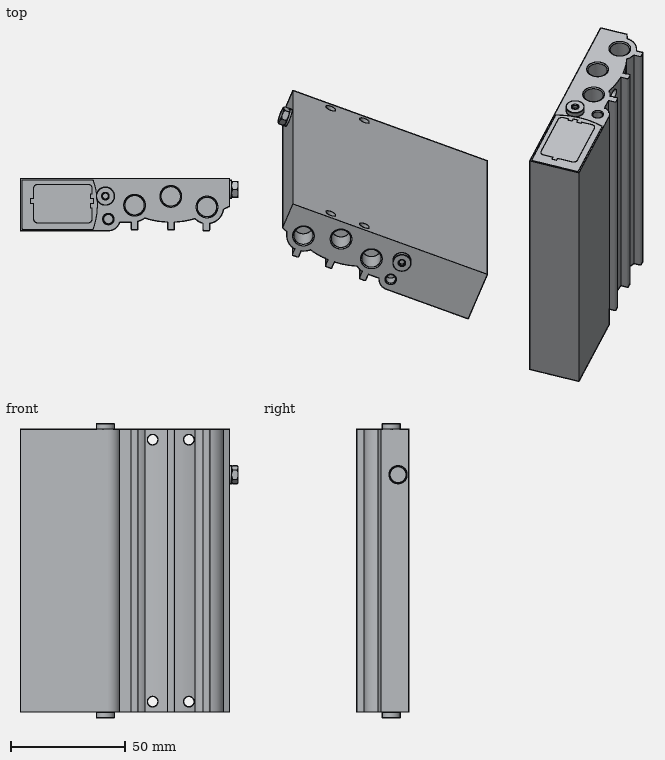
import cadquery as cq
import math

OVERALL_LENGTH = 129.0
OVERALL_WIDTH = 95.5
DEPTH = 23.0

KNOB_DIAMETER = 8.0
KNOB_HEIGHT = 2.5
KNOB_RIM_CHAMFER = 0.1
KNOB_X = 37.3
KNOB_Y = 15.2
KNOB_SOCKET_DIAMETER = 2.6
KNOB_SOCKET_MOUTH = 3.4
KNOB_SOCKET_DEPTH = 1.8

FITTING_LENGTH = 3.7
FITTING_Y = 18.2
FITTING_DROP = 20.0
COLLAR_DIAMETER = 8.0
COLLAR_LENGTH = 0.9
HEX_ACROSS_FLATS = 7.0
HEX_CORNER_CHAMFER = 0.5

LENGTH = OVERALL_LENGTH - 2 * KNOB_HEIGHT
WIDTH = OVERALL_WIDTH - FITTING_LENGTH
NOSE_RADIUS = 5.2
NOSE_X = 38.6
FLOOR_Y = 3.7
CORE_Y = 10.7
STEP_X = 89.0
STEP_Y = 9.4
BELLY_RADIUS = 36.1

PORT_PITCH = 15.9
PORT_X = [50.0 + i * PORT_PITCH for i in range(3)]
PORT_Y = [11.2, 15.1, 10.5]
PORT_DIAMETER = 8.5
PORT_DEPTH = 12.0
PORT_CHAMFER = 0.5
FIRST_LOBE_RADIUS = 7.2
LAST_LOBE_RADIUS = 7.4
RIB_WIDTH = 3.0
RIB_X = [50.0, 66.0, 81.5]
RIB_TIP_Y = [0.4, 0.4, 0.0]
RIB_TIP_FILLET = 0.5

PASSAGE_DIAMETER = 4.1
PASSAGE_DEPTH = 6.0
PASSAGE_CHAMFER = 0.45

MOUNT_DIAMETER = 4.5
MOUNT_END_DISTANCE = 4.6
MOUNT_X = [x + PORT_PITCH / 2 for x in PORT_X[:2]]

PANEL_INSET = 0.6
PANEL_DEPTH = 0.06
PANEL_END_X = 31.9
PANEL_BULGE_X = 33.8
PANEL_CORNER_FILLET = 0.5
WINDOW_DEPTH = 0.06
WINDOW_LEFT = 5.8
WINDOW_RIGHT = 31.5
WINDOW_BOTTOM = 3.5
WINDOW_TOP = 20.4
WINDOW_FILLET = 1.8
TAB_Y = 13.2
TAB_HEIGHT = 2.2
LEFT_TAB_X = 4.5
RIGHT_TAB_X = 32.1
NOTCH_X = 30.7
NOTCH_HEIGHT = 6.2


def bar(x_min, x_max, y_min, y_max):
    """Rectangular bar over the full housing length."""
    block = cq.Workplane("XY").box(x_max - x_min, y_max - y_min, LENGTH, centered=False)
    return block.translate((x_min, y_min, 0))


def rod(x, y, radius):
    """Round bar over the full housing length."""
    return cq.Workplane("XY").center(x, y).circle(radius).extrude(LENGTH)


def make_profile_body():
    """Deep left block with a rounded nose, then the port section with lobes and a belly."""
    core = (
        cq.Workplane("XY")
        .polyline([
            (0, 0), (NOSE_X, 0), (NOSE_X, STEP_Y), (STEP_X, STEP_Y),
            (WIDTH, CORE_Y), (WIDTH, DEPTH), (0, DEPTH),
        ])
        .close()
        .extrude(LENGTH)
    )
    nose = rod(NOSE_X, NOSE_RADIUS, NOSE_RADIUS)
    floor = bar(NOSE_X, PORT_X[0], FLOOR_Y, CORE_Y)
    first_lobe = rod(PORT_X[0], PORT_Y[0], FIRST_LOBE_RADIUS)
    last_lobe = rod(PORT_X[2], PORT_Y[2], LAST_LOBE_RADIUS)
    belly = rod(PORT_X[1], FLOOR_Y + BELLY_RADIUS, BELLY_RADIUS).intersect(
        bar(PORT_X[0], PORT_X[2], 0, CORE_Y)
    )
    return core.union(nose).union(floor).union(first_lobe).union(last_lobe).union(belly)


def make_rib(x, tip_y):
    """Lengthwise rib with rounded tip edges."""
    rib = bar(x - RIB_WIDTH / 2, x + RIB_WIDTH / 2, tip_y, CORE_Y)
    return rib.faces("<Y").edges("|Z").fillet(RIB_TIP_FILLET)


def make_end_bores(x, y, diameter, chamfer, depth):
    """Cutter for two equal blind bores, one from each end face, with chamfered mouths."""
    bore_radius = diameter / 2
    mouth_radius = bore_radius + chamfer
    half_profile = [
        (0, 0), (mouth_radius, 0), (bore_radius, chamfer), (bore_radius, depth), (0, depth),
    ]
    bottom_bore = cq.Workplane("XZ").polyline(half_profile).close().revolve(360, (0, 0), (0, 1))
    top_bore = bottom_bore.mirror("XY", (0, 0, LENGTH / 2))
    return bottom_bore.union(top_bore).translate((x, y, 0))


def make_mounting_holes():
    """Cutters for the four front-to-back mounting holes."""
    points = [(x, z) for x in MOUNT_X for z in (MOUNT_END_DISTANCE, LENGTH - MOUNT_END_DISTANCE)]
    return cq.Workplane("XZ").pushPoints(points).circle(MOUNT_DIAMETER / 2).extrude(-DEPTH)


def make_panel_recess():
    """Cutter for the shallow panel, whose right end bows outwards."""
    top_y = DEPTH - PANEL_INSET
    return (
        cq.Workplane("XY", origin=(0, 0, LENGTH - PANEL_DEPTH))
        .moveTo(PANEL_END_X, PANEL_INSET)
        .threePointArc((PANEL_BULGE_X, DEPTH / 2), (PANEL_END_X, top_y))
        .lineTo(PANEL_INSET, top_y)
        .lineTo(PANEL_INSET, PANEL_INSET)
        .close()
        .extrude(PANEL_DEPTH)
        .edges("|Z and <X")
        .fillet(PANEL_CORNER_FILLET)
    )


def make_window_recess():
    """Cutter for the window: a rounded rectangle with side tabs and a notched right edge."""
    plane = cq.Workplane("XY", origin=(0, 0, LENGTH - PANEL_DEPTH - WINDOW_DEPTH))

    def slab(x_min, x_max, y_min, y_max):
        return (
            plane.center((x_min + x_max) / 2, (y_min + y_max) / 2)
            .rect(x_max - x_min, y_max - y_min)
            .extrude(WINDOW_DEPTH)
        )

    window = slab(WINDOW_LEFT, WINDOW_RIGHT, WINDOW_BOTTOM, WINDOW_TOP).edges("|Z").fillet(WINDOW_FILLET)
    notch = slab(NOTCH_X, RIGHT_TAB_X, TAB_Y - NOTCH_HEIGHT / 2, TAB_Y + NOTCH_HEIGHT / 2)
    tabs = slab(LEFT_TAB_X, RIGHT_TAB_X, TAB_Y - TAB_HEIGHT / 2, TAB_Y + TAB_HEIGHT / 2)
    return window.cut(notch).union(tabs)


def make_housing():
    """Ribbed body with its bores, mounting holes and end panel."""
    body = make_profile_body()
    for x, tip_y in zip(RIB_X, RIB_TIP_Y):
        body = body.union(make_rib(x, tip_y))
    for x, y in zip(PORT_X, PORT_Y):
        body = body.cut(make_end_bores(x, y, PORT_DIAMETER, PORT_CHAMFER, PORT_DEPTH))
    passages = make_end_bores(NOSE_X, NOSE_RADIUS, PASSAGE_DIAMETER, PASSAGE_CHAMFER, PASSAGE_DEPTH)
    body = body.cut(passages)
    body = body.cut(make_mounting_holes())
    return body.cut(make_panel_recess()).cut(make_window_recess())


def make_knob():
    """Round knob on the XY plane, both rims chamfered, with a blind socket in its outer face."""
    socket_chamfer = (KNOB_SOCKET_MOUTH - KNOB_SOCKET_DIAMETER) / 2
    half_profile = [
        (0, 0),
        (KNOB_DIAMETER / 2 - KNOB_RIM_CHAMFER, 0),
        (KNOB_DIAMETER / 2, KNOB_RIM_CHAMFER),
        (KNOB_DIAMETER / 2, KNOB_HEIGHT - KNOB_RIM_CHAMFER),
        (KNOB_DIAMETER / 2 - KNOB_RIM_CHAMFER, KNOB_HEIGHT),
        (KNOB_SOCKET_MOUTH / 2, KNOB_HEIGHT),
        (KNOB_SOCKET_DIAMETER / 2, KNOB_HEIGHT - socket_chamfer),
        (KNOB_SOCKET_DIAMETER / 2, KNOB_HEIGHT - KNOB_SOCKET_DEPTH),
        (0, KNOB_HEIGHT - KNOB_SOCKET_DEPTH),
    ]
    return cq.Workplane("XZ").polyline(half_profile).close().revolve(360, (0, 0), (0, 1))


def make_knobs():
    """One knob on each end face, its socket facing outwards."""
    knobs = []
    for end_z, turn in ((LENGTH, 0), (0, 180)):
        knob = make_knob().rotate((0, 0, 0), (1, 0, 0), turn)
        knobs.append(knob.translate((KNOB_X, KNOB_Y, end_z)).val())
    return knobs


def make_fitting():
    """Hexagon with two corners along Z, on a round collar against the right side."""
    across_corners = HEX_ACROSS_FLATS / math.cos(math.radians(30))
    hex_length = FITTING_LENGTH - COLLAR_LENGTH
    side = cq.Workplane("YZ", origin=(WIDTH, FITTING_Y, LENGTH - FITTING_DROP))
    collar = side.circle(COLLAR_DIAMETER / 2).extrude(COLLAR_LENGTH)
    hex_plane = side.workplane(offset=COLLAR_LENGTH)
    hexagon = hex_plane.transformed(rotate=(0, 0, 90)).polygon(6, across_corners).extrude(hex_length)
    envelope = (
        hex_plane.circle(across_corners / 2).extrude(hex_length)
        .faces("<X or >X").edges().chamfer(HEX_CORNER_CHAMFER)
    )
    return collar.union(hexagon.intersect(envelope))


housing = make_housing()
fitting = make_fitting()
knobs = make_knobs()

result = cq.Compound.makeCompound([housing.val(), fitting.val(), *knobs])